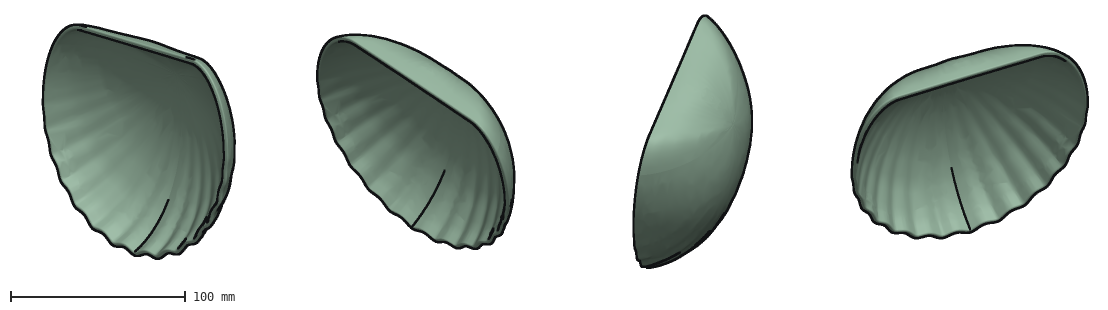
import cadquery as cq
import math

BOTTOM, BACK = 0.0, math.pi

half_width = 73.25
back_height = 26.3
front_reach = 102.5
widest_z = -25.7
corner_width = 29.4
corner_center_x = half_width - corner_width
corner_height = back_height - widest_z
front_height = front_reach + widest_z

rib_spacing = math.radians(10)
valley_depth = 2.5
last_rib_heading = math.radians(75)

patch_seam = math.radians(100.8)

umbo_depth = 35.4
umbo_slope = 0.42
umbo_handle = (0.271, 0.672, 0.418)
rim_handle_inset = (0.163, 0.072, 0.0)
rim_handle_depth = (41.6, 9.4, 18.5)

wall = 3.0
lip_radius = 1.0

patch_samples_per_rib = 8
meridian_count = 24
lip_count = 4
surface_tolerance = 0.01
sewing_tolerance = 0.05
difference_step = 1e-4


def distance_to_ellipse(heading, center_x, semi_x, semi_z):
    """Distance from the umbo to an ellipse centred at the height of the widest point."""
    dir_x, dir_z = math.sin(heading) / semi_x, -math.cos(heading) / semi_z
    off_x, off_z = center_x / semi_x, widest_z / semi_z
    square = dir_x**2 + dir_z**2
    half_linear = dir_x * off_x + dir_z * off_z
    constant = off_x**2 + off_z**2 - 1
    return (half_linear + math.sqrt(half_linear**2 - square * constant)) / square


def smooth_rim_radius(heading):
    """Distance from the umbo to the rim through the rib tops."""
    heading = abs(heading)
    if heading > BACK:
        heading = 2 * BACK - heading
    if heading < math.atan2(half_width, -widest_z):
        return distance_to_ellipse(heading, 0, half_width, front_height)
    if heading < math.atan2(corner_center_x, -back_height):
        return distance_to_ellipse(heading, corner_center_x, corner_width, corner_height)
    return -back_height / math.cos(heading)


def rim_radius(heading):
    """Distance from the umbo to the scalloped rim."""
    radius = smooth_rim_radius(heading)
    if abs(heading) < last_rib_heading:
        fade = math.cos(heading / last_rib_heading * math.pi / 2)
        wave = (1 - math.cos(2 * math.pi * heading / rib_spacing)) / 2
        radius -= valley_depth * fade * wave
    return radius


def blend(values, heading):
    """Smooth blend through (bottom, side, back) values."""
    bottom, side, back = values
    c = math.cos(heading)
    return side + (bottom - back) / 2 * c + ((bottom + back) / 2 - side) * c**2


def bezier(a, b, c, d, t):
    s = 1 - t
    return a * s**3 + 3 * b * s**2 * t + 3 * c * s * t**2 + d * t**3


def outer_point(heading, t):
    """Point of the outer surface; t runs along the meridian from the umbo (0) to the rim (1)."""
    rim = rim_radius(heading)
    first = blend(umbo_handle, heading) * smooth_rim_radius(heading)
    last = rim * (1 - blend(rim_handle_inset, heading))
    first_depth = umbo_depth + umbo_slope * math.cos(heading) * first
    last_depth = blend(rim_handle_depth, heading)
    radius = bezier(0, first, last, rim, t)
    depth = bezier(umbo_depth, first_depth, last_depth, 0, t)
    return cq.Vector(radius * math.sin(heading), depth, -radius * math.cos(heading))


def outer_frame(heading, t):
    """Outward normal of the outer surface, and its tangent towards the rim."""
    h = difference_step
    tangent = (outer_point(heading, t + h) - outer_point(heading, t - h)).normalized()
    if t == 0:
        return cq.Vector(0, 1, umbo_slope).normalized(), tangent
    across = outer_point(heading + h, t) - outer_point(heading - h, t)
    return across.cross(tangent).normalized(), tangent


def inner_point(heading, t):
    normal, _ = outer_frame(heading, t)
    return outer_point(heading, t) - normal * wall


def lip_point(heading, depth_in_wall, rise):
    """Point on the lip, at a depth below the outer surface and a rise beyond the rim."""
    normal, tangent = outer_frame(heading, 1)
    return outer_point(heading, 1) - normal * depth_in_wall + tangent * rise


def outer_lip_point(heading, t):
    angle = t * math.pi / 2
    return lip_point(heading, lip_radius * (1 - math.cos(angle)), lip_radius * math.sin(angle))


def flat_lip_point(heading, t):
    return lip_point(heading, lip_radius + t * (wall - 2 * lip_radius), lip_radius)


def inner_lip_point(heading, t):
    angle = t * math.pi / 2
    return lip_point(heading, wall - lip_radius * (1 - math.sin(angle)), lip_radius * math.cos(angle))


def patch(point_at, start, end, count):
    """Smooth face through point_at(heading, t) for the headings from start to end."""
    heading_count = round(patch_samples_per_rib * (end - start) / rib_spacing)
    grid = []
    for i in range(heading_count + 1):
        heading = start + (end - start) * i / heading_count
        grid.append([point_at(heading, j / count) for j in range(count + 1)])
    return cq.Face.makeSplineApprox(grid, tol=surface_tolerance, minDeg=3, maxDeg=3)


def build_shell():
    """Skin of the whole wall, from ribbed and plain patches mirrored to both sides."""
    surfaces = [
        (outer_point, meridian_count),
        (outer_lip_point, lip_count),
        (flat_lip_point, lip_count),
        (inner_lip_point, lip_count),
        (inner_point, meridian_count),
    ]
    half = []
    for point_at, count in surfaces:
        half.append(patch(point_at, BOTTOM, patch_seam, count))
        half.append(patch(point_at, patch_seam, BACK, count))
    other_half = [face.mirror("YZ") for face in half]
    skin = cq.occ_impl.shapes.shell(*half, *other_half, tol=sewing_tolerance)
    return cq.Solid.makeSolid(skin)


result = cq.Workplane("XY").newObject([build_shell()])